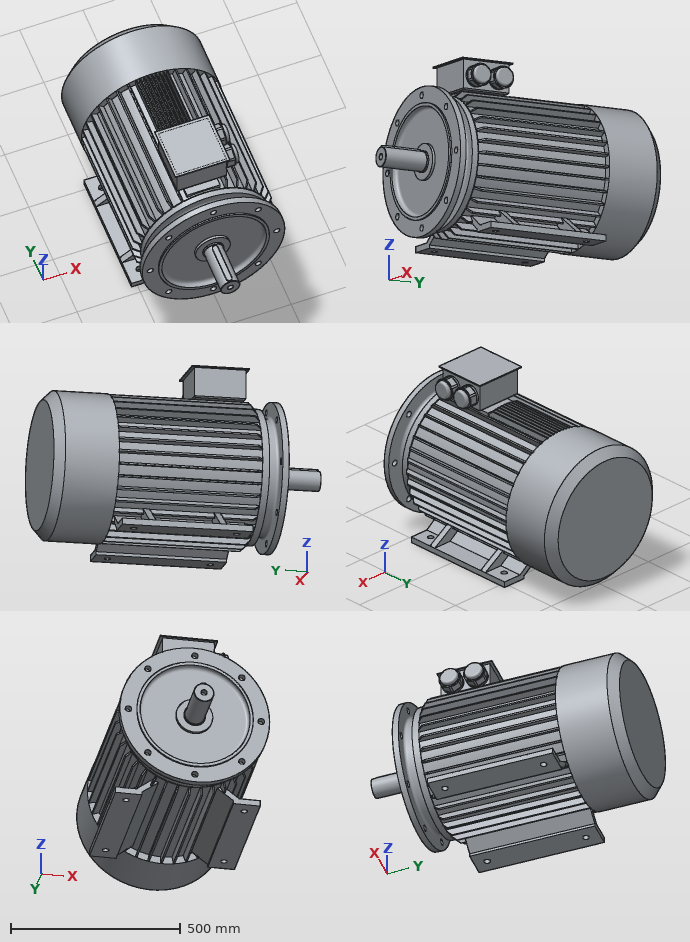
import cadquery as cq
import math


shaft_tip = -140.0
shaft_diameter = 60.0
shaft_chamfer = 1.3
centre_hole_diameter = 17.0
centre_hole_mouth = 19.0
centre_hole_depth = 17.0
centre_hole_point = 5.0
key_width = 18.0
key_top = 34.0
key_start = -138.0
key_end = -5.0
seat_diameter = 65.0

flange_diameter = 450.0
flange_thickness = 19.5
bolt_circle_diameter = 400.0
bolt_hole_diameter = 19.0
bolt_count = 8
pilot_diameter = 350.0
pilot_height = 5.0
recess_diameter = 330.0
recess_floor = 13.5
recess_fillet = 10.0
hub_diameter = 110.0
hub_face = 5.0
neck_diameter = pilot_diameter
neck_fillet = 8.5
ring_diameter = 405.0
ring_start = 54.0
ring_end = 75.0

housing_radius = 199.0
fin_radius = 221.0
fin_thickness = 5.0
fin_pitch_angle = 10
fin_root_radius = 186.0
fin_chamfer = 16.0
flat_half_angle = 20
top_fin_pitch = 12.25
top_fin_thickness = 3.0
top_fin_start = 262.0
top_fins_per_side = 4

cover_diameter = 445.0
cover_start = 513.0
cover_chamfer = 29.0
motor_length = 845.0
cover_end = shaft_tip + motor_length

foot_bottom = -flange_diameter / 2
foot_outer = 218.0
foot_inner = 138.0
foot_thickness = 19.0
foot_start = 108.0
foot_end = 503.0
foot_top = foot_bottom + foot_thickness
leg_outer = 155.0
leg_inner_rise = 9.0
leg_slope = 0.75
leg_run = 53.0
gusset_slope = 0.65
gusset_thickness = 20.0
gusset_starts = (187.0, 401.0)
foot_hole_spread = 356.0
foot_hole_diameter = 19.0
foot_hole_places = (149.0, 460.0)

box_size = 155.5
box_centre = 176.0
box_bottom = 215.0
box_chamfer = 4.0
lid_size = 172.0
lid_thickness = 3.0
lid_top = foot_bottom + 534.0
saddle_width = 105.0
saddle_top = 204.5
saddle_start = 83.0
pedestal_length = 105.0
pedestal_bottom = 186.0

gland_height = 258.0
gland_places = (139.0, 215.5)
gland_washer_diameter = 65.0
gland_washer_length = 7.0
gland_hex_flats = 61.0
gland_hex_length = 24.5
gland_collar_diameter = 67.0
gland_collar_length = 2.5
gland_cap_diameter = 57.5
gland_cap_length = 13.0
gland_cap_fillet = 6.0


def cylinder(diameter, start, end):
    """Cylinder about the shaft axis between two places along Y."""
    return cq.Workplane("XZ", origin=(0, start, 0)).circle(diameter / 2).extrude(start - end)


def block(x_limits, y_limits, z_limits):
    """Box given by its limits along each axis."""
    lows, highs = zip(x_limits, y_limits, z_limits)
    sizes = [high - low for low, high in zip(lows, highs)]
    return cq.Workplane("XY").box(*sizes, centered=False).translate(lows)


def make_end_shield():
    """Flange, spigot, neck and clamping ring, with the recess in the front face."""
    neck_radius = neck_diameter / 2
    fillet_mid = neck_fillet * (1 - math.sqrt(0.5))
    flare = neck_radius + neck_fillet
    pilot_radius = pilot_diameter / 2
    profile = (
        cq.Workplane("XY")
        .moveTo(0, -pilot_height)
        .lineTo(pilot_radius, -pilot_height)
        .lineTo(pilot_radius, 0)
        .lineTo(flange_diameter / 2, 0)
        .lineTo(flange_diameter / 2, flange_thickness)
        .lineTo(flare, flange_thickness)
        .threePointArc(
            (neck_radius + fillet_mid, flange_thickness + fillet_mid),
            (neck_radius, flange_thickness + neck_fillet),
        )
        .lineTo(neck_radius, ring_start - neck_fillet)
        .threePointArc((neck_radius + fillet_mid, ring_start - fillet_mid), (flare, ring_start))
        .lineTo(ring_diameter / 2, ring_start)
        .lineTo(ring_diameter / 2, ring_end)
        .lineTo(0, ring_end)
        .close()
    )
    shield = profile.revolve(360, (0, 0, 0), (0, 1, 0))
    recess = cylinder(recess_diameter, -pilot_height, recess_floor).edges(">Y").fillet(recess_fillet)
    bolt_holes = (
        cq.Workplane("XZ")
        .polarArray(bolt_circle_diameter / 2, 0, 360, bolt_count)
        .circle(bolt_hole_diameter / 2)
        .extrude(-flange_thickness)
    )
    hub = cylinder(hub_diameter, hub_face, ring_end)
    return shield.cut(recess).cut(bolt_holes).union(hub)


def make_shaft():
    """Shaft with its key, end chamfer, centre hole and seat at the hub."""
    shaft = cylinder(shaft_diameter, shaft_tip, ring_end).faces("<Y").chamfer(shaft_chamfer)
    seat = cylinder(seat_diameter, 0, ring_end)
    key = (
        cq.Workplane("XY", origin=(0, (key_start + key_end) / 2, 0))
        .slot2D(key_end - key_start, key_width, 90)
        .extrude(key_top)
    )
    hole_radius = centre_hole_diameter / 2
    mouth_radius = centre_hole_mouth / 2
    centre_hole = (
        cq.Workplane("XY", origin=(0, shaft_tip, 0))
        .polyline(
            [
                (0, 0),
                (mouth_radius, 0),
                (hole_radius, mouth_radius - hole_radius),
                (hole_radius, centre_hole_depth),
                (0, centre_hole_depth + centre_hole_point),
            ]
        )
        .close()
        .revolve(360, (0, 0, 0), (0, 1, 0))
    )
    return shaft.union(seat).union(key).cut(centre_hole)


def make_fin_envelope(start):
    """Solid of revolution that rounds the fin tips and slopes their front ends."""
    return cylinder(2 * fin_radius, start, cover_start).faces("<Y").chamfer(fin_chamfer)


def make_housing():
    """Cylindrical housing with radial fins and a group of upright fins on top."""
    housing = cylinder(2 * housing_radius, ring_end, cover_start)

    radial_envelope = make_fin_envelope(ring_end)
    first_angle = 90 + flat_half_angle
    last_angle = 450 - flat_half_angle
    for angle in range(first_angle, last_angle + 1, fin_pitch_angle):
        fin = block(
            (fin_root_radius, fin_radius),
            (ring_end, cover_start),
            (-fin_thickness / 2, fin_thickness / 2),
        )
        fin = fin.rotate((0, 0, 0), (0, -1, 0), angle)
        housing = housing.union(radial_envelope.intersect(fin))

    top_envelope = make_fin_envelope(top_fin_start)
    for step in range(-top_fins_per_side, top_fins_per_side + 1):
        place = step * top_fin_pitch
        fin = block(
            (place - top_fin_thickness / 2, place + top_fin_thickness / 2),
            (top_fin_start, cover_start),
            (fin_root_radius, fin_radius),
        )
        housing = housing.union(top_envelope.intersect(fin))
    return housing


def make_cover():
    """Fan cover with a bevelled rear edge."""
    return cylinder(cover_diameter, cover_start, cover_end).faces(">Y").chamfer(cover_chamfer)


def make_foot():
    """Foot on the +X side: plate, sloping leg, gussets and two bolt holes."""
    leg_rise = leg_run * leg_slope
    leg_end = (leg_outer - leg_run, foot_top + leg_rise)
    foot = (
        cq.Workplane("XZ", origin=(0, foot_start, 0))
        .polyline(
            [
                (foot_outer, foot_bottom),
                (foot_inner, foot_bottom),
                (foot_inner, foot_bottom + leg_inner_rise),
                (foot_inner - leg_run, foot_bottom + leg_inner_rise + leg_rise),
                leg_end,
                (leg_outer, foot_top),
                (foot_outer, foot_top),
            ]
        )
        .close()
        .extrude(foot_start - foot_end)
    )
    gusset_rise = (foot_outer - leg_outer + leg_run / 2) * gusset_slope
    for start in gusset_starts:
        gusset = (
            cq.Workplane("XZ", origin=(0, start, 0))
            .polyline(
                [
                    (foot_outer, foot_top),
                    (leg_outer - leg_run / 2, foot_top + gusset_rise),
                    leg_end,
                    (leg_outer, foot_top),
                ]
            )
            .close()
            .extrude(-gusset_thickness)
        )
        foot = foot.union(gusset)
    holes = (
        cq.Workplane("XY", origin=(0, 0, foot_bottom))
        .pushPoints([(foot_hole_spread / 2, place) for place in foot_hole_places])
        .circle(foot_hole_diameter / 2)
        .extrude(foot_thickness)
    )
    return foot.cut(holes)


def make_terminal_box():
    """Terminal box with its lid, standing on a pedestal and a saddle on the housing."""
    lid_bottom = lid_top - lid_thickness
    half_saddle = saddle_width / 2
    saddle = block(
        (-half_saddle, half_saddle), (saddle_start, top_fin_start), (pedestal_bottom, saddle_top)
    )
    pedestal = (
        cq.Workplane("XY", origin=(0, box_centre, pedestal_bottom))
        .rect(saddle_width, pedestal_length)
        .extrude(box_bottom - pedestal_bottom)
    )
    box = (
        cq.Workplane("XY", origin=(0, box_centre, box_bottom))
        .rect(box_size, box_size)
        .extrude(lid_bottom - box_bottom)
        .faces("<Z")
        .chamfer(box_chamfer)
    )
    lid = (
        cq.Workplane("XY", origin=(0, box_centre, lid_bottom))
        .rect(lid_size, lid_size)
        .extrude(lid_thickness)
    )
    return saddle.union(pedestal).union(box).union(lid)


def gland_disc(diameter, length, offset):
    """Disc on the gland axis, set off from the wall of the terminal box."""
    start = (box_size / 2 + offset, 0, gland_height)
    return cq.Workplane("YZ", origin=start).circle(diameter / 2).extrude(length)


def make_gland(place):
    """Cable gland on the +X wall: washer, hexagon nut with cut corners, collar and cap."""
    nut_offset = gland_washer_length
    collar_offset = nut_offset + gland_hex_length
    cap_offset = collar_offset + gland_collar_length
    washer = gland_disc(gland_washer_diameter, gland_washer_length, 0)
    hexagon = (
        cq.Workplane("YZ", origin=(box_size / 2 + nut_offset, 0, gland_height))
        .polygon(6, gland_hex_flats, circumscribed=True)
        .extrude(gland_hex_length)
    )
    nut = hexagon.intersect(gland_disc(gland_collar_diameter, gland_hex_length, nut_offset))
    collar = gland_disc(gland_collar_diameter, gland_collar_length, collar_offset)
    cap = gland_disc(gland_cap_diameter, gland_cap_length, cap_offset)
    cap = cap.faces(">X").edges().fillet(gland_cap_fillet)
    return washer.union(nut).union(collar).union(cap).translate((0, place, 0))


result = make_housing()
result = result.union(make_end_shield())
result = result.union(make_shaft())
result = result.union(make_cover())
foot = make_foot()
result = result.union(foot)
result = result.union(foot.mirror("YZ"))
result = result.union(make_terminal_box())
for gland_place in gland_places:
    result = result.union(make_gland(gland_place))